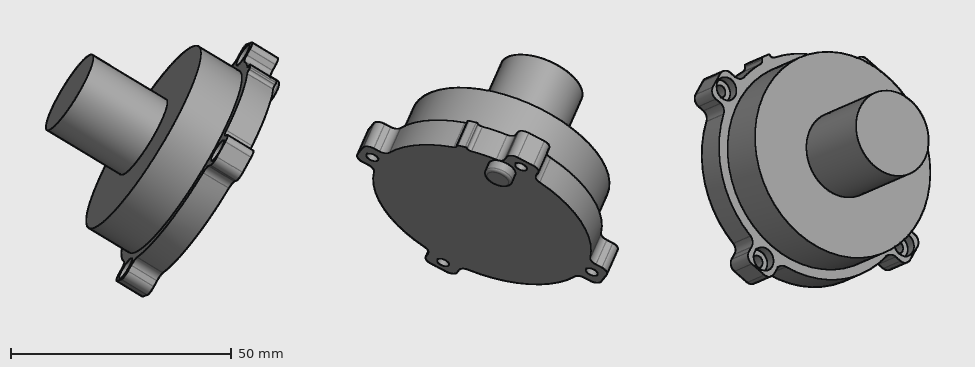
import cadquery as cq
import math

ROLL = 183.7
ELEVATION = 32.7
AZIMUTH = 227.4
FLANGE_CENTRE = (-1.85, -0.15, 0.35)

SHAFT_RADIUS = 10.0
SHAFT_LENGTH = 20.0
BODY_RADIUS = 24.15
BODY_HEIGHT = 11.0
RIM_RADIUS = 26.5
FLANGE_THICKNESS = 7.0

LUG_COUNT = 4
LUG_START_ANGLE = 30
BOLT_CIRCLE_RADIUS = 28.3
LUG_WIDTH = 8.05
LUG_TIP_RADIUS = 2.0
LUG_ROOT_RADIUS = 2.0
LUG_TIP_MARGIN = 3.15
LUG_REACH = BOLT_CIRCLE_RADIUS + LUG_TIP_MARGIN
SCREW_HOLE_RADIUS = 1.45
COUNTERBORE_RADIUS = 2.75
COUNTERBORE_DEPTH = 2.5

KEY_WIDTH = 2.5
KEY_REACH = 27.65
KEY_ROOT_RADIUS = 1.0
KEY_TIP_RADIUS = 0.4

STUD_RADIUS = 3.3
STUD_LENGTH = 2.8
STUD_EDGE_RADIUS = 0.65
STUD_CENTRE_RADIUS = 23.5
STUD_ANGLE = 22.4


def radial_tab(width, reach, root_radius, tip_radius):
    """Straight-sided tab along +X, blended into the rim by concave root arcs, with rounded tips."""
    half = width / 2
    root_y = half + root_radius
    root_distance = RIM_RADIUS + root_radius
    root_x = math.sqrt(root_distance**2 - root_y**2)
    rim_x = root_x * RIM_RADIUS / root_distance
    rim_y = root_y * RIM_RADIUS / root_distance
    return (
        cq.Workplane("XY")
        .moveTo(0, 0)
        .lineTo(rim_x, -rim_y)
        .radiusArc((root_x, -half), root_radius)
        .lineTo(reach, -half)
        .lineTo(reach, half)
        .lineTo(root_x, half)
        .radiusArc((rim_x, rim_y), root_radius)
        .close()
        .extrude(-FLANGE_THICKNESS)
        .edges("|Z and >X")
        .fillet(tip_radius)
    )


def screw_hole():
    hole = cq.Workplane("XY").circle(SCREW_HOLE_RADIUS).extrude(-FLANGE_THICKNESS)
    counterbore = cq.Workplane("XY").circle(COUNTERBORE_RADIUS).extrude(-COUNTERBORE_DEPTH)
    return hole.union(counterbore).translate((BOLT_CIRCLE_RADIUS, 0, 0))


def stud():
    return (
        cq.Workplane("XY")
        .workplane(offset=-FLANGE_THICKNESS)
        .center(STUD_CENTRE_RADIUS, 0)
        .circle(STUD_RADIUS)
        .extrude(-STUD_LENGTH)
        .faces("<Z")
        .fillet(STUD_EDGE_RADIUS)
    )


def about_axis(shape, angle):
    return shape.rotate((0, 0, 0), (0, 0, 1), angle)


part = cq.Workplane("XY").circle(RIM_RADIUS).extrude(-FLANGE_THICKNESS)
part = part.union(cq.Workplane("XY").circle(BODY_RADIUS).extrude(BODY_HEIGHT))
part = part.union(cq.Workplane("XY").circle(SHAFT_RADIUS).extrude(BODY_HEIGHT + SHAFT_LENGTH))
part = part.union(radial_tab(KEY_WIDTH, KEY_REACH, KEY_ROOT_RADIUS, KEY_TIP_RADIUS))
part = part.union(about_axis(stud(), STUD_ANGLE))

lug = radial_tab(LUG_WIDTH, LUG_REACH, LUG_ROOT_RADIUS, LUG_TIP_RADIUS)
lug_angles = [LUG_START_ANGLE + 360 / LUG_COUNT * i for i in range(LUG_COUNT)]
for lug_angle in lug_angles:
    part = part.union(about_axis(lug, lug_angle))
for lug_angle in lug_angles:
    part = part.cut(about_axis(screw_hole(), lug_angle))

result = (
    about_axis(part, ROLL)
    .rotate((0, 0, 0), (0, 1, 0), 90 - ELEVATION)
    .rotate((0, 0, 0), (0, 0, 1), AZIMUTH)
    .translate(FLANGE_CENTRE)
)